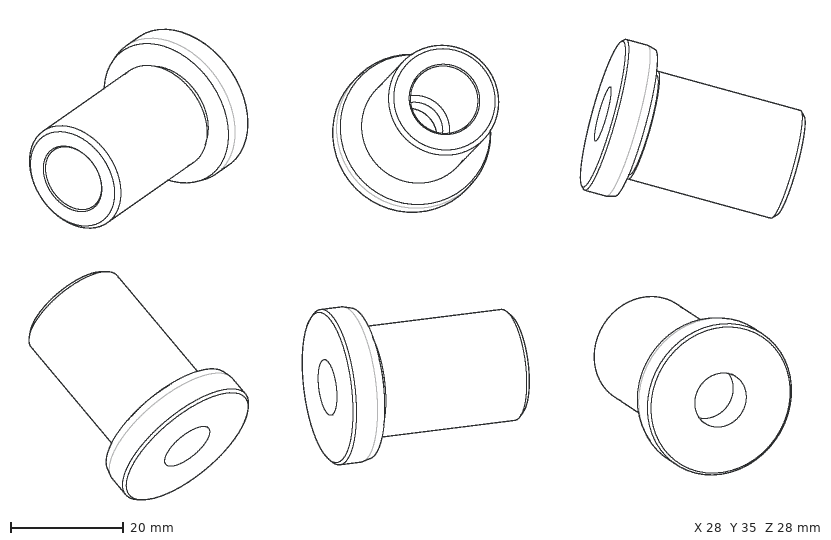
import cadquery as cq
import math

length = 35.0

head_radius = 14.0
head_thickness = 6.0
head_rear_chamfer = 0.5
head_taper_length = 1.5
head_taper_depth = 0.4

shank_radius = 10.0
shank_chamfer = 0.8
groove_width = 1.5
groove_depth = 0.8

wide_bore_radius = 6.12
narrow_bore_radius = 5.0
bore_chamfer = 0.28
bore_cone_angle = 120.0
bore_cone_length = (wide_bore_radius - narrow_bore_radius) / math.tan(math.radians(bore_cone_angle / 2))

shank_end = -length / 2
head_rear = length / 2
head_front = head_rear - head_thickness
groove_front = head_front - groove_width
bore_cone_end = head_front

half_section = [
    (wide_bore_radius + bore_chamfer, shank_end),
    (shank_radius - shank_chamfer, shank_end),
    (shank_radius, shank_end + shank_chamfer),
    (shank_radius, groove_front),
    (shank_radius - groove_depth, groove_front),
    (shank_radius - groove_depth, head_front),
    (head_radius - head_taper_depth, head_front),
    (head_radius, head_front + head_taper_length),
    (head_radius, head_rear - head_rear_chamfer),
    (head_radius - head_rear_chamfer, head_rear),
    (narrow_bore_radius, head_rear),
    (narrow_bore_radius, bore_cone_end),
    (wide_bore_radius, bore_cone_end - bore_cone_length),
    (wide_bore_radius, shank_end + bore_chamfer),
]

result = cq.Workplane("XY").polyline(half_section).close().revolve(360, (0, 0, 0), (0, 1, 0))